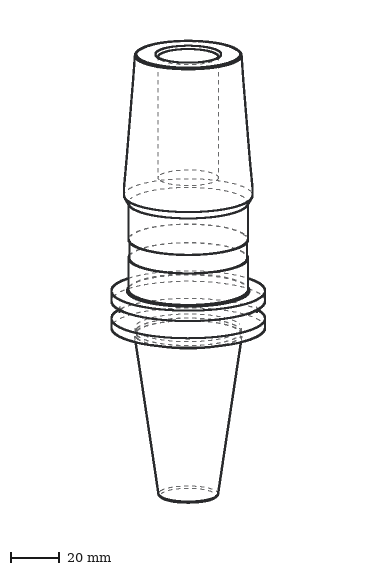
import cadquery as cq
import math

total_height = 188.4
gauge_z = 68.4
neck_step_z = 69.9
flange_bottom_z = 71.5
groove_center_z = 79.3
flange_top_z = 87.5
relief_bottom_z = 101.4
relief_top_z = 109.3
collar_bottom_z = 125.0
collar_chamfer_top_z = 128.1
nose_cone_z = 131.1

flange_radius = 63.5 / 2
groove_root_radius = 28.3
gauge_radius = 22.2
neck_radius = 21.9
neck_step_height = 0.2
body_radius = 24.7
relief_radius = 24.3
collar_radius = 26.5
nose_tip_radius = 22.0
bore_radius = 12.5

taper_slope = 7 / 48
shank_chamfer = 0.8
gauge_land = 0.4
groove_width = 7.3
groove_flank_angle = math.radians(30)
groove_root_fillet = 1.3
body_base_chamfer = 0.5
nose_chamfer = 0.5
bore_chamfer = 1.1
bore_depth = 52.8


def revolve_outline(outline):
    """Turn a closed (radius, height) outline about the Z axis."""
    return cq.Workplane("XZ").polyline(outline).close().revolve(360, (0, 0), (0, 1))


def shank():
    """Tapered shank with a relief neck that reaches the flange."""
    tip_radius = gauge_radius - gauge_z * taper_slope
    outline = [
        (0, 0),
        (tip_radius - shank_chamfer, 0),
        (tip_radius + shank_chamfer * taper_slope, shank_chamfer),
        (gauge_radius, gauge_z),
        (gauge_radius, gauge_z + gauge_land),
        (neck_radius, gauge_z + gauge_land),
        (neck_radius, neck_step_z),
        (neck_radius + neck_step_height, neck_step_z),
        (neck_radius + neck_step_height, flange_bottom_z),
        (0, flange_bottom_z),
    ]
    return revolve_outline(outline)


def flange():
    """Gripper flange with a V groove whose root corners are rounded."""
    half_rim = groove_width / 2
    flank_height = (flange_radius - groove_root_radius) * math.tan(groove_flank_angle)
    half_root = half_rim - flank_height
    outline = [
        (0, flange_bottom_z),
        (flange_radius, flange_bottom_z),
        (flange_radius, groove_center_z - half_rim),
        (groove_root_radius, groove_center_z - half_root),
        (groove_root_radius, groove_center_z + half_root),
        (flange_radius, groove_center_z + half_rim),
        (flange_radius, flange_top_z),
        (0, flange_top_z),
    ]
    root_band = cq.selectors.BoxSelector(
        (-flange_radius, -flange_radius, groove_center_z - half_rim / 2),
        (flange_radius, flange_radius, groove_center_z + half_rim / 2),
    )
    return revolve_outline(outline).edges(root_band).edges("%CIRCLE").fillet(groove_root_fillet)


def body():
    """Cylindrical body with a recessed band, collar and tapered nose."""
    outline = [
        (0, flange_top_z),
        (body_radius + body_base_chamfer, flange_top_z),
        (body_radius, flange_top_z + body_base_chamfer),
        (body_radius, relief_bottom_z),
        (relief_radius, relief_bottom_z),
        (relief_radius, relief_top_z),
        (body_radius, relief_top_z),
        (body_radius, collar_bottom_z),
        (collar_radius, collar_chamfer_top_z),
        (collar_radius, nose_cone_z),
        (nose_tip_radius, total_height - nose_chamfer),
        (nose_tip_radius - nose_chamfer, total_height),
        (0, total_height),
    ]
    return revolve_outline(outline)


def bore():
    """Blind tool bore with a chamfered mouth."""
    outline = [
        (0, total_height - bore_depth),
        (bore_radius, total_height - bore_depth),
        (bore_radius, total_height - bore_chamfer),
        (bore_radius + bore_chamfer, total_height),
        (0, total_height),
    ]
    return revolve_outline(outline)


result = shank().union(flange()).union(body()).cut(bore())